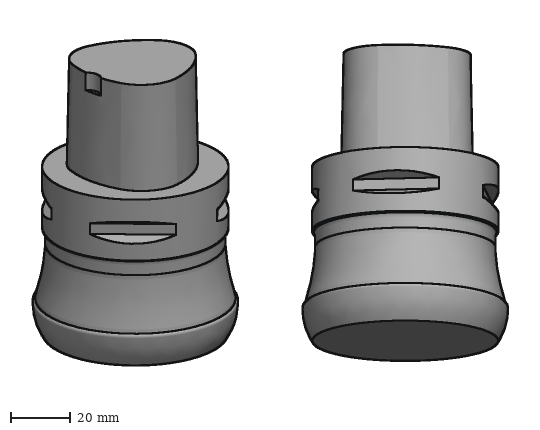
import cadquery as cq
import math

TOTAL_HEIGHT = 98.0
SHOULDER_Z = 60.0
COLLAR_BOTTOM_Z = 37.5
NECK_TOP_Z = 36.0
JOINT_Z = 32.3
FLARE_START_Z = 30.7
FLARE_MIDDLE_Z = 22.2
FLARE_END_Z = 13.8
RIM_Z = 11.2

COLLAR_RADIUS = 63.0 / 2
NECK_RADIUS = 61.0 / 2
FLARE_MIDDLE_RADIUS = 31.6
FLARE_END_RADIUS = 33.6
RIM_RADIUS = 69.5 / 2
RIM_STEP = 0.9
RIM_ROUND = 1.4
NOSE_RADIUS = 31.4
NECK_FLARE = 0.4
COLLAR_CHAMFER = 0.4

LOBE_COUNT = 3
APEX_DISTANCE = 23.5
FLAT_DISTANCE = 20.5
LOBE_RADIUS = 15.0
SHANK_INSET = 0.8

NOTCH_RADIUS = 5.1
NOTCH_HEIGHT = 6.3
NOTCH_FLOOR_Y = -17.9

SLOT_COUNT = 4
SLOT_START_ANGLE = 45.0
SLOT_Z = 48.0
SLOT_FLOOR_DISTANCE = 27.9
SLOT_FLOOR_WIDTH = 3.8
SLOT_WALL_ANGLE = 30.0
SLOT_CLEARANCE = 1.0


def polar(radius, degrees):
    angle = math.radians(degrees)
    return (radius * math.cos(angle), radius * math.sin(angle))


def shank_outline(z, inset):
    """Closed wire of lobe arcs and shallow side arcs, tangent to each other."""
    lobe_radius = LOBE_RADIUS - inset
    lobe_offset = APEX_DISTANCE - LOBE_RADIUS
    drop = FLAT_DISTANCE - LOBE_RADIUS
    side_offset = (lobe_offset**2 - drop**2) / (2 * drop - lobe_offset)

    pitch = 360 / LOBE_COUNT
    half_pitch = pitch / 2

    def joint(lobe_angle, side):
        """Tangent point between a lobe and the shallow side next to it."""
        lobe_x, lobe_y = polar(lobe_offset, lobe_angle)
        side_x, side_y = polar(-side_offset, lobe_angle + side * half_pitch)
        reach = math.hypot(lobe_x - side_x, lobe_y - side_y)
        stretch = lobe_radius / reach
        return (lobe_x + (lobe_x - side_x) * stretch, lobe_y + (lobe_y - side_y) * stretch)

    first_lobe = 90
    outline = cq.Workplane("XY", origin=(0, 0, z)).moveTo(*joint(first_lobe, -1))
    for index in range(LOBE_COUNT):
        lobe_angle = first_lobe + index * pitch
        outline = outline.threePointArc(polar(APEX_DISTANCE - inset, lobe_angle), joint(lobe_angle, 1))
        side_middle = polar(FLAT_DISTANCE - inset, lobe_angle + half_pitch)
        outline = outline.threePointArc(side_middle, joint(lobe_angle + pitch, -1))
    return outline.wire().val()


def make_shank():
    wires = [shank_outline(SHOULDER_Z, 0), shank_outline(TOTAL_HEIGHT, SHANK_INSET)]
    return cq.Workplane(cq.Solid.makeLoft(wires, True))


def make_notch():
    return (
        cq.Workplane("XY", origin=(0, NOTCH_FLOOR_Y - NOTCH_RADIUS, TOTAL_HEIGHT - NOTCH_HEIGHT))
        .circle(NOTCH_RADIUS)
        .extrude(NOTCH_HEIGHT)
    )


def make_collar():
    """Collar and upper neck, turned about Z."""
    return (
        cq.Workplane("XZ")
        .moveTo(0, JOINT_Z)
        .lineTo(NECK_RADIUS, JOINT_Z)
        .lineTo(NECK_RADIUS, NECK_TOP_Z)
        .tangentArcPoint((NECK_RADIUS + NECK_FLARE, COLLAR_BOTTOM_Z), relative=False)
        .lineTo(COLLAR_RADIUS - COLLAR_CHAMFER, COLLAR_BOTTOM_Z)
        .lineTo(COLLAR_RADIUS, COLLAR_BOTTOM_Z + COLLAR_CHAMFER)
        .lineTo(COLLAR_RADIUS, SHOULDER_Z)
        .lineTo(0, SHOULDER_Z)
        .close()
        .revolve(360, (0, 0), (0, 1))
    )


def make_slot_cutter():
    """Trapezoidal bar along Y, opening outward from the slot floor toward +X."""
    outer_distance = COLLAR_RADIUS + SLOT_CLEARANCE
    floor_half = SLOT_FLOOR_WIDTH / 2
    rise = (outer_distance - SLOT_FLOOR_DISTANCE) * math.tan(math.radians(SLOT_WALL_ANGLE))
    return (
        cq.Workplane("XZ", origin=(0, 0, SLOT_Z))
        .polyline([
            (SLOT_FLOOR_DISTANCE, -floor_half),
            (outer_distance, -floor_half - rise),
            (outer_distance, floor_half + rise),
            (SLOT_FLOOR_DISTANCE, floor_half),
        ])
        .close()
        .extrude(COLLAR_RADIUS, both=True)
    )


def make_holder():
    holder = make_collar().union(make_shank()).cut(make_notch())
    cutter = make_slot_cutter()
    for index in range(SLOT_COUNT):
        angle = SLOT_START_ANGLE + index * 360 / SLOT_COUNT
        holder = holder.cut(cutter.rotate((0, 0, 0), (0, 0, 1), angle))
    return holder


def make_head():
    """Flared head with a bulged rim, turned about Z."""
    round_center_radius = RIM_RADIUS - RIM_ROUND
    round_start_radius = RIM_RADIUS - RIM_STEP
    start_angle = math.acos((round_start_radius - round_center_radius) / RIM_ROUND)

    def on_round(angle):
        return (round_center_radius + RIM_ROUND * math.cos(angle), RIM_Z + RIM_ROUND * math.sin(angle))

    return (
        cq.Workplane("XZ")
        .moveTo(0, JOINT_Z)
        .lineTo(NECK_RADIUS, JOINT_Z)
        .lineTo(NECK_RADIUS, FLARE_START_Z)
        .threePointArc((FLARE_MIDDLE_RADIUS, FLARE_MIDDLE_Z), (FLARE_END_RADIUS, FLARE_END_Z))
        .lineTo(*on_round(start_angle))
        .threePointArc(on_round(start_angle / 2), on_round(0))
        .tangentArcPoint((NOSE_RADIUS, 0), relative=False)
        .lineTo(0, 0)
        .close()
        .revolve(360, (0, 0), (0, 1))
    )


holder = make_holder()
head = make_head()

result = cq.Compound.makeCompound([holder.val(), head.val()])